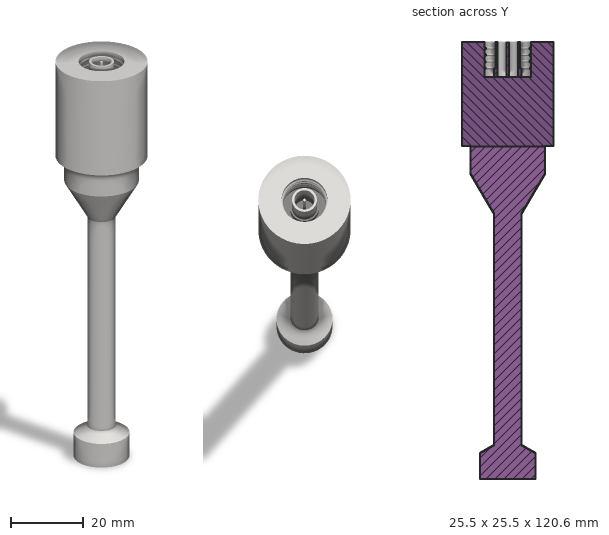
import cadquery as cq

total_height = 120.6
barrel_bottom_z = 91.8
collar_bottom_z = 84.2
cone_bottom_z = 73.3
foot_cone_top_z = 9.4
foot_rim_z = 7.2

barrel_diameter = 25.5
collar_diameter = 20.6
rod_diameter = 7.8
foot_diameter = 15.4

bore_diameter = 12.7
bore_depth = 9.6
ridge_count = 4
ridge_pitch = 1.8
first_ridge_depth = 1.5
ridge_height = 0.4
ridge_half_width = 0.4

sleeve_diameter = 6.9
sleeve_hole_diameter = 5.5
sleeve_base_diameter = 7.8
sleeve_base_height = 2.4
pin_diameter = 0.76
pin_top_gap = 0.1

bore_floor_z = total_height - bore_depth


def revolve_profile(points):
    """Turn a closed (radius, z) outline around the Z axis."""
    return cq.Workplane("XZ").polyline(points).close().revolve(360, (0, 0), (0, 1))


def make_stem():
    """Collar, taper, long rod and foot in one turned body."""
    return revolve_profile([
        (0, 0),
        (foot_diameter / 2, 0),
        (foot_diameter / 2, foot_rim_z),
        (rod_diameter / 2, foot_cone_top_z),
        (rod_diameter / 2, cone_bottom_z),
        (collar_diameter / 2, collar_bottom_z),
        (collar_diameter / 2, barrel_bottom_z),
        (0, barrel_bottom_z),
    ])


def make_barrel():
    """Cylinder with a blind bore whose wall carries V-shaped rings."""
    bore_radius = bore_diameter / 2
    outline = [
        (0, barrel_bottom_z),
        (barrel_diameter / 2, barrel_bottom_z),
        (barrel_diameter / 2, total_height),
        (bore_radius, total_height),
    ]
    for index in range(ridge_count):
        ridge_top_z = total_height - first_ridge_depth - index * ridge_pitch
        outline += [
            (bore_radius, ridge_top_z),
            (bore_radius - ridge_height, ridge_top_z - ridge_half_width),
            (bore_radius, ridge_top_z - 2 * ridge_half_width),
        ]
    outline += [(bore_radius, bore_floor_z), (0, bore_floor_z)]
    return revolve_profile(outline)


def make_sleeve():
    """Thin tube, flush with the barrel top, on a slightly wider base."""
    base_top_z = bore_floor_z + sleeve_base_height
    return revolve_profile([
        (sleeve_hole_diameter / 2, bore_floor_z),
        (sleeve_base_diameter / 2, bore_floor_z),
        (sleeve_base_diameter / 2, base_top_z),
        (sleeve_diameter / 2, base_top_z),
        (sleeve_diameter / 2, total_height),
        (sleeve_hole_diameter / 2, total_height),
    ])


def make_pin():
    """Centre contact, ending just below the sleeve rim."""
    pin_length = bore_depth - pin_top_gap
    return cq.Workplane("XY", origin=(0, 0, bore_floor_z)).circle(pin_diameter / 2).extrude(pin_length)


stem = make_stem()
barrel = make_barrel()
sleeve = make_sleeve()
pin = make_pin()

result = cq.Compound.makeCompound([stem.val(), barrel.val(), sleeve.val(), pin.val()])